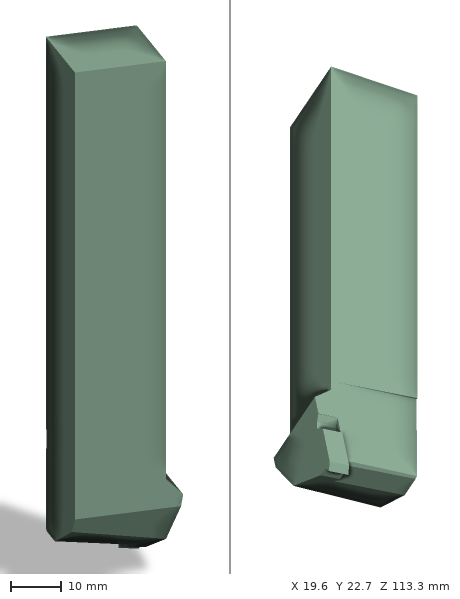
import cadquery as cq
import math

shank_width = 19.0
overall_length = 113.3
overall_depth = 22.7

tilt_angle = 10.0
head_top_z = 28.3
tilt_sin = math.sin(math.radians(tilt_angle))
tilt_cos = math.cos(math.radians(tilt_angle))

nose_top_z = 22.5
nose_drop = overall_depth - shank_width
nose_corner_z = nose_top_z - nose_drop
rake_forward = overall_depth * tilt_cos - (nose_corner_z - head_top_z) * tilt_sin
stock_side_x = -1.1

relief_angle = 1.0
relief_depth = 0.32

floor_up = -21.6
floor_end_x = 5.9
floor_start_x = 0.8
edge_bevel_rise = 0.5
lower_slope_angle = 30.0
corner_bevel_angle = 61.0
corner_bevel_z = 16.4

seat_forward = 19.6
insert_side_x = -0.6
insert_shoulder_up = -14.2
notch_root_x = 1.5
notch_root_up = -12.5
notch_bend_x = 1.0
notch_bend_up = -11.1
notch_mouth_up = -9.7
insert_base_up = -22.9
tip_x = 0.5
tip_right_x = 1.5
tip_up = (rake_forward * tilt_sin - head_top_z) / tilt_cos
insert_base_end_x = floor_end_x - (floor_up - insert_base_up) / math.tan(math.radians(lower_slope_angle))

clearance = 45.3


def tilted_prism(points, forward_start, forward_end):
    """Extrude an (X, up) outline along the forward axis of the head frame."""
    plane = cq.Plane(
        origin=(0, forward_start * tilt_cos, head_top_z - forward_start * tilt_sin),
        xDir=(1, 0, 0),
        normal=(0, -tilt_cos, tilt_sin),
    )
    return cq.Workplane(plane).polyline(points).close().extrude(forward_start - forward_end)


def make_blank():
    """Square shank joined to the overhanging nose, both running past the lower end."""
    shank = cq.Workplane("XY").box(shank_width, shank_width, overall_length, centered=False)
    rake_foot_y = overall_depth - nose_corner_z * tilt_sin / tilt_cos
    nose_outline = [
        (0, 0),
        (rake_foot_y, 0),
        (overall_depth, nose_corner_z),
        (shank_width, nose_top_z),
        (0, nose_top_z),
    ]
    nose = (
        cq.Workplane("YZ", origin=(stock_side_x, 0, 0))
        .polyline(nose_outline).close()
        .extrude(shank_width - stock_side_x)
    )
    rake_cut = tilted_prism(
        [(-clearance, -clearance), (clearance, -clearance), (clearance, 0), (-clearance, 0)],
        rake_forward,
        clearance,
    )
    return shank.cut(rake_cut).union(nose)


def side_relief():
    """Wedge on the -X side that deepens away from the rake face."""
    slope = math.tan(math.radians(relief_angle))
    plane = cq.Plane(
        origin=(0, 0, head_top_z),
        xDir=(1, 0, 0),
        normal=(0, tilt_sin, tilt_cos),
    )
    outline = [
        (-clearance, -clearance),
        (relief_depth + clearance * slope, -clearance),
        (relief_depth - clearance * slope, clearance),
        (-clearance, clearance),
    ]
    return cq.Workplane(plane).polyline(outline).close().extrude(-clearance)


def lower_end_cut():
    """Beveled -X edge, flat tilted floor and the long rising slope."""
    rise = clearance * math.tan(math.radians(lower_slope_angle))
    outline = [
        (-clearance, floor_up + edge_bevel_rise),
        (0, floor_up + edge_bevel_rise),
        (floor_start_x, floor_up),
        (floor_end_x, floor_up),
        (floor_end_x + clearance, floor_up + rise),
        (floor_end_x + clearance, -2 * clearance),
        (-clearance, -2 * clearance),
    ]
    return tilted_prism(outline, -clearance, clearance)


def corner_bevel():
    """Steep bevel on the +X side, parallel to Y."""
    run = corner_bevel_z / math.tan(math.radians(corner_bevel_angle))
    outline = [(shank_width, 0), (shank_width, corner_bevel_z), (shank_width - run, 0)]
    return (
        cq.Workplane("XZ", origin=(0, -clearance, 0))
        .polyline(outline).close()
        .extrude(-2 * clearance)
    )


def insert_seat():
    """Open seat for the insert, with the notch above it."""
    outline = [
        (-clearance, notch_mouth_up),
        (0, notch_mouth_up),
        (notch_bend_x, notch_bend_up),
        (notch_root_x, notch_root_up),
        (floor_end_x, floor_up),
        (floor_end_x, -clearance),
        (-clearance, -clearance),
    ]
    return tilted_prism(outline, seat_forward, clearance)


def make_holder():
    return (
        make_blank()
        .cut(side_relief())
        .cut(lower_end_cut())
        .cut(corner_bevel())
        .cut(insert_seat())
    )


def make_insert():
    """Cutting insert with a pointed tip, flush with the rake face."""
    outline = [
        (insert_side_x, insert_shoulder_up),
        (notch_root_x, notch_root_up),
        (floor_end_x, floor_up),
        (insert_base_end_x, insert_base_up),
        (tip_right_x, insert_base_up),
        (tip_x, tip_up),
        (insert_side_x, insert_base_up),
    ]
    return tilted_prism(outline, seat_forward, rake_forward)


holder = make_holder()
insert = make_insert()

result = cq.Compound.makeCompound([holder.val(), insert.val()])